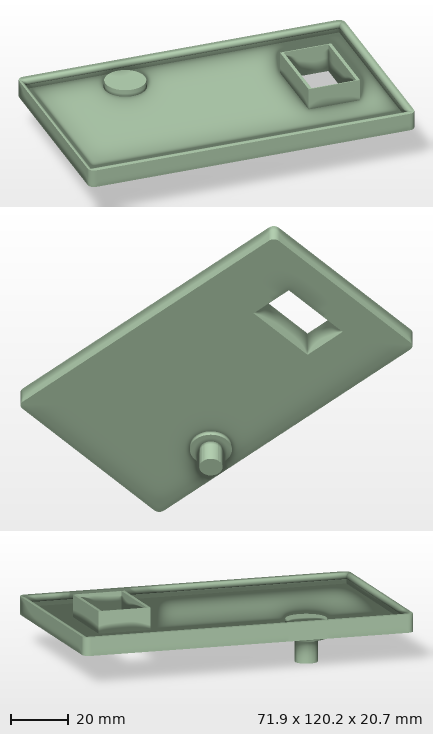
import cadquery as cq
import math

plate_width = 71.9
plate_length = 120.2
plate_height = 6.5
corner_radius = 2.4
floor_thickness = 2.5

side_land = 1.5
side_bead_radius = 1.2
side_step = 0.4
back_land = 0.8
front_land = 0.2
end_bead_radius = 1.5
end_step = 1.2

window_width = 27.4
window_length = 16.5
frame_width = 28.1
frame_length = 18.9
frame_rise = 4.0
frame_to_side = 21.8
frame_to_end = 12.5

knob_diameter = 14.5
knob_hole_diameter = 15.0
collar_diameter = 20.0
collar_thickness = 1.2
knob_rise = 2.4
knob_drop = 1.7
knob_x = 12.0 - plate_width / 2
knob_y = 35.5 - plate_length / 2

shaft_diameter = 8.0
shaft_length = 8.5
flat_width = 1.2

frame_x = frame_to_side + frame_width / 2 - plate_width / 2
frame_y = plate_length / 2 - frame_to_end - frame_length / 2
wall_height = plate_height - floor_thickness


def block(width, length, height, base_z):
    """Box centred on the Z axis, standing on base_z."""
    return cq.Workplane("XY").workplane(offset=base_z).rect(width, length).extrude(height)


def disc(diameter, height, base_z):
    """Upright cylinder on the knob axis, standing on base_z."""
    return (
        cq.Workplane("XY", origin=(knob_x, knob_y, base_z))
        .circle(diameter / 2)
        .extrude(height)
    )


def make_opening():
    """Full-depth opening between the flat lands of the four walls."""
    width = plate_width - 2 * side_land
    length = plate_length - front_land - back_land
    center_y = (front_land - back_land) / 2
    return block(width, length, wall_height, floor_thickness).translate((0, center_y, 0))


def make_side_lip(direction):
    """Bead and wall face along one long side; direction is -1 or +1 in X."""
    center_x = direction * (plate_width / 2 - side_land)
    center_z = plate_height - side_bead_radius
    face = block(2 * side_step, plate_length, center_z - floor_thickness, floor_thickness)
    bead = (
        cq.Workplane("XZ", origin=(center_x, 0, center_z))
        .circle(side_bead_radius)
        .extrude(plate_length / 2, both=True)
    )
    return bead.union(face.translate((center_x, 0, 0)))


def make_end_lip(direction, land):
    """Bead and wall face along one short side; direction is -1 or +1 in Y."""
    center_y = direction * (plate_length / 2 - land)
    center_z = plate_height - end_bead_radius
    face = block(plate_width, 2 * end_step, center_z - floor_thickness, floor_thickness)
    bead = (
        cq.Workplane("YZ", origin=(0, center_y, center_z))
        .circle(end_bead_radius)
        .extrude(plate_width / 2, both=True)
    )
    return bead.union(face.translate((0, center_y, 0)))


def make_tray():
    tray = block(plate_width, plate_length, plate_height, 0).edges("|Z").fillet(corner_radius)
    opening = make_opening()
    tray = tray.cut(opening)

    lips = (
        make_side_lip(-1),
        make_side_lip(1),
        make_end_lip(-1, front_land),
        make_end_lip(1, back_land),
    )
    for lip in lips:
        tray = tray.union(lip.intersect(opening))

    frame_height = plate_height + frame_rise
    frame = block(frame_width, frame_length, frame_height, 0).translate((frame_x, frame_y, 0))
    window = block(window_width, window_length, frame_height, 0).translate((frame_x, frame_y, 0))
    tray = tray.union(frame).cut(window)

    knob_hole = disc(knob_hole_diameter, floor_thickness, 0)
    counterbore = disc(collar_diameter, collar_thickness, 0)
    return tray.cut(knob_hole).cut(counterbore)


def make_knob():
    body = disc(knob_diameter, knob_drop + floor_thickness + knob_rise, -knob_drop)
    collar = disc(collar_diameter, collar_thickness, 0)
    return body.union(collar)


def make_shaft():
    base_z = -knob_drop - shaft_length
    across_flats = math.sqrt(shaft_diameter**2 - flat_width**2)
    envelope = block(across_flats, across_flats, shaft_length, base_z)
    return disc(shaft_diameter, shaft_length, base_z).intersect(
        envelope.translate((knob_x, knob_y, 0))
    )


tray = make_tray()
knob = make_knob()
shaft = make_shaft()

result = cq.Compound.makeCompound([
    *tray.solids().vals(),
    *knob.solids().vals(),
    *shaft.solids().vals(),
])